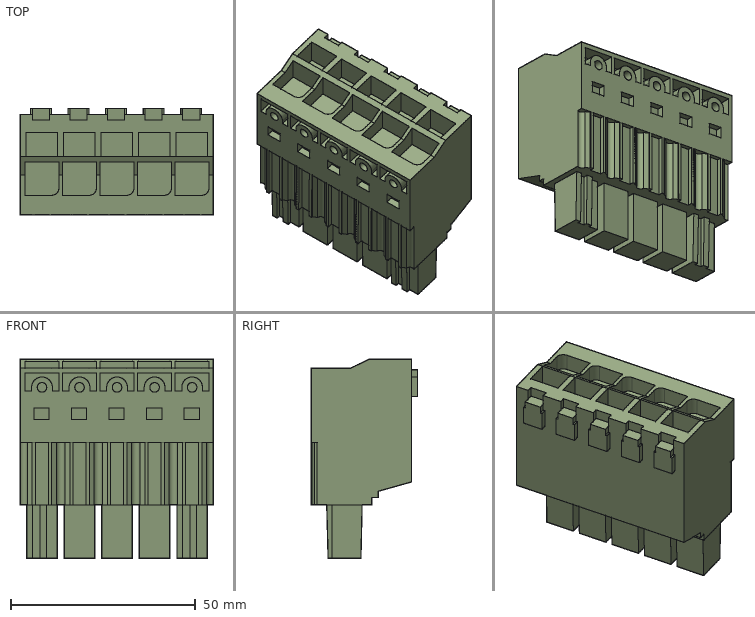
import cadquery as cq


poles = 5
width = 52.3
height = 53.9
housing_depth = 27.2
end_wall = 0.75
row_shift = 0.08
pitch = (width - 2 * end_wall) / poles
pole_centers = [row_shift + (i - (poles - 1) / 2) * pitch for i in range(poles)]
pole_borders = [row_shift + (i - poles / 2) * pitch for i in range(poles + 1)]

front_top = 51.5
slope_front = 10.7
slope_back = 15.75
body_bottom = 14.45
rear_bottom = 20.65
step_back = 18.2
step_upper = 18.1
step_lower = 16.45
step_front = 16.45

pocket_floor = 46.7
front_pocket_width = 9.15
front_pocket_front = 5.3
front_pocket_back = 14.3
front_pocket_radius = 2.0
rear_pocket_width = 8.5
rear_pocket_shift = -0.1
rear_pocket_back = 22.25

recess_width = 9.15
recess_bottom = 45.3
recess_top = 50.15
recess_depth = 4.85
boss_radius = 2.8
boss_center_z = 46.25
boss_hole_radius = 1.3
window_width = 4.1
window_shift = -0.1
window_bottom = 37.5
window_top = 40.65
window_depth = 1.95

rib_top = 31.3
rib_inner = 1.8
rib_outer = 2.65
rib_draft = 0.05
channel_depth = 1.3
flank_front = 0.25
flank_back = 0.89
groove_half_width = 1.16
groove_depth = 1.9

plug_width = 8.3
plug_front = 5.0
plug_back = 13.85
plug_back_tip = 13.55
key_front = 4.2
key_front_tip = 4.6
key_floor = 5.6
key_ridges = [(-plug_width / 2, -2.55), (-0.55, 1.25)]

button_shift = -0.25
stem_width = 4.7
flange_width = 5.7
notch_depth = 1.5
button_reach = 1.6
button_bottom = 43.75
button_top = 51.05
flange_top = 49.05
notch_front = housing_depth - notch_depth
button_back = housing_depth + button_reach


def box(x_range, y_range, z_range):
    """Block between two limits along each axis."""
    (x0, x1), (y0, y1), (z0, z1) = x_range, y_range, z_range
    return cq.Workplane("XY").box(x1 - x0, y1 - y0, z1 - z0, centered=False).translate((x0, y0, z0))


def span(center, size):
    """Limits of a length placed evenly about a centre."""
    return (center - size / 2, center + size / 2)


def side_prism(points, x_range):
    """Outline of (y, z) points extruded along X."""
    x0, x1 = x_range
    return cq.Workplane("YZ").polyline(points).close().extrude(x1 - x0).translate((x0, 0, 0))


def housing_block():
    outline = [
        (0, body_bottom),
        (0, front_top),
        (slope_front, front_top),
        (slope_back, height),
        (housing_depth, height),
        (housing_depth, rear_bottom),
        (step_back, step_upper),
        (step_back, step_lower),
        (step_front, step_lower),
        (step_front, body_bottom),
    ]
    return side_prism(outline, span(0, width))


def front_pocket(x):
    """Sloped-side pocket with one rounded corner at the front."""
    pocket = box(span(x, front_pocket_width), (front_pocket_front, front_pocket_back), (pocket_floor, height))
    return pocket.edges("|Z and >X and <Y").fillet(front_pocket_radius)


def rear_pocket(x):
    return box(
        span(x + rear_pocket_shift, rear_pocket_width), (slope_back, rear_pocket_back), (pocket_floor, height)
    )


def front_recess(x):
    """Rectangular recess that leaves an arched boss standing, plus the hole in that boss."""
    recess = box(span(x, recess_width), (0, recess_depth), (recess_bottom, recess_top))
    boss = cylinder_along_y(x, boss_radius)
    boss_foot = box(span(x, 2 * boss_radius), (0, recess_depth), (recess_bottom, boss_center_z))
    return recess.cut(boss).cut(boss_foot).union(cylinder_along_y(x, boss_hole_radius))


def cylinder_along_y(x, radius):
    return cq.Workplane("XZ").center(x, boss_center_z).circle(radius).extrude(-recess_depth)


def window(x):
    return box(span(x + window_shift, window_width), (0, window_depth), (window_bottom, window_top))


def rib_channel(x):
    """Flat channel between the two coding ribs of a pole."""
    return box(span(x, 2 * rib_inner), (0, channel_depth), (body_bottom, rib_top))


def rib_valley(x):
    """Valley between two poles: sloping flanks that lead into a round groove."""
    half_width = pitch / 2 - rib_outer
    return (
        cq.Workplane("XY")
        .moveTo(x - half_width, 0)
        .lineTo(x - half_width, flank_front)
        .lineTo(x - groove_half_width, flank_back)
        .threePointArc((x, groove_depth), (x + groove_half_width, flank_back))
        .lineTo(x + half_width, flank_front)
        .lineTo(x + half_width, 0)
        .close()
        .extrude(rib_top - body_bottom)
        .translate((0, 0, body_bottom))
    )


def rib_wedge(x_range):
    """Draft on a rib front, growing from nothing at the top of the rib."""
    return side_prism([(0, rib_top), (0, body_bottom), (-rib_draft, body_bottom)], x_range)


def plain_plug(x):
    outline = [(plug_front, 0), (plug_front, body_bottom), (plug_back, body_bottom), (plug_back_tip, 0)]
    return side_prism(outline, span(x, plug_width))


def keyed_plug(x):
    """End plug with two drafted ridges standing on a deeper front face."""
    outline = [(key_floor, 0), (key_floor, body_bottom), (plug_back, body_bottom), (plug_back_tip, 0)]
    ridge = [(key_front_tip, 0), (key_front, body_bottom), (key_floor, body_bottom), (key_floor, 0)]
    plug = side_prism(outline, span(x, plug_width))
    for left, right in key_ridges:
        plug = plug.union(side_prism(ridge, (x + left, x + right)))
    return plug


def button_notch(x):
    """Slot for the button stem, open at the back and at the top."""
    return box(span(x + button_shift, stem_width), (notch_front, housing_depth), (button_bottom, height))


def make_housing():
    housing = housing_block()
    for x in pole_centers:
        for cutter in (front_pocket, rear_pocket, front_recess, window, rib_channel, button_notch):
            housing = housing.cut(cutter(x))
        for x_range in ((x - rib_outer, x - rib_inner), (x + rib_inner, x + rib_outer)):
            housing = housing.union(rib_wedge(x_range))
    for x in pole_borders:
        housing = housing.cut(rib_valley(x))
    for x in pole_centers:
        at_end = x in (pole_centers[0], pole_centers[-1])
        plug = keyed_plug(x) if at_end else plain_plug(x)
        housing = housing.union(plug)
    return housing


def make_button(x):
    """Latch button: a stem in the housing slot with a shorter, wider flange behind the housing."""
    center = x + button_shift
    stem = box(span(center, stem_width), (notch_front, button_back), (button_bottom, button_top))
    flange = box(span(center, flange_width), (housing_depth, button_back), (button_bottom, flange_top))
    return stem.union(flange)


housing = make_housing()
buttons = [make_button(x) for x in pole_centers]

result = cq.Compound.makeCompound([housing.val(), *[button.val() for button in buttons]])